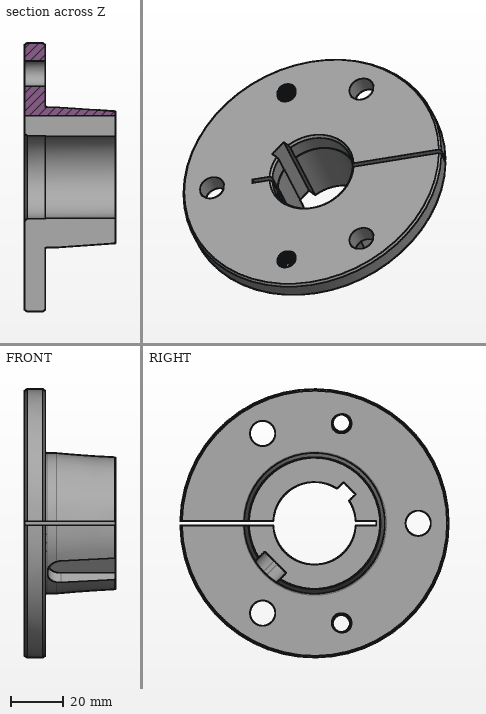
import cadquery as cq
import math


flange_radius = 51.6
flange_thickness = 8.0
rim_chamfer_length = 1.0
rim_chamfer_depth = 0.7

total_length = 35.0
hub_radius = 27.0
taper_start = 12.2
taper_angle = 4.0
hub_root_fillet = 0.5
hub_end_chamfer = 0.3

bore_radius = 15.8
relief_radius = 16.0
bore_chamfer_length = 1.0
bore_chamfer_depth = 0.8

split_width = 1.7
split_blind_reach = 23.6

bore_keyway_angle = 45.0
bore_keyway_width = 6.5
bore_keyway_floor = 19.0
hub_keyway_angle = 225.0
hub_keyway_width = 11.7
hub_keyway_floor = 21.2
hub_keyway_start = 9.0
hub_keyway_corner_radius = 5.0

hole_circle_radius = 39.8
bolt_hole_radius = 4.8
bolt_hole_count = 3
jack_hole_angle = 75.0

thread_minor_radius = 3.3
thread_major_radius = 3.97
thread_pitch = 1.4
thread_start_angle = 135.0


def hub_body():
    """Flange and hub revolved about X, with the bore left open."""
    taper_drop = (total_length - taper_start) * math.tan(math.radians(taper_angle))
    end_radius = hub_radius - taper_drop
    rim_edge_radius = flange_radius - rim_chamfer_depth
    fillet_middle = hub_root_fillet * (1 - math.sqrt(0.5))
    profile = (
        cq.Workplane("XY")
        .moveTo(0, relief_radius + bore_chamfer_depth)
        .lineTo(0, rim_edge_radius)
        .lineTo(rim_chamfer_length, flange_radius)
        .lineTo(flange_thickness - rim_chamfer_length, flange_radius)
        .lineTo(flange_thickness, rim_edge_radius)
        .lineTo(flange_thickness, hub_radius + hub_root_fillet)
        .threePointArc(
            (flange_thickness + fillet_middle, hub_radius + fillet_middle),
            (flange_thickness + hub_root_fillet, hub_radius),
        )
        .lineTo(taper_start, hub_radius)
        .lineTo(total_length - hub_end_chamfer, end_radius)
        .lineTo(total_length, end_radius - hub_end_chamfer)
        .lineTo(total_length, bore_radius)
        .lineTo(flange_thickness, bore_radius)
        .lineTo(flange_thickness, relief_radius)
        .lineTo(bore_chamfer_length, relief_radius)
        .close()
    )
    return profile.revolve(360, (0, 0, 0), (1, 0, 0))


def split_cut():
    """Slot that splits the -Y side and stops inside the hub wall on the +Y side."""
    reach = flange_radius + split_blind_reach
    slot = cq.Workplane("XY").box(total_length, reach, split_width, centered=(False, False, True))
    return slot.translate((0, -flange_radius, 0))


def bore_keyway():
    """Square-cornered keyway running the full length of the bore."""
    keyway = cq.Workplane("XY").box(
        total_length, bore_keyway_floor, bore_keyway_width, centered=(False, False, True)
    )
    return keyway.rotate((0, 0, 0), (1, 0, 0), bore_keyway_angle)


def hub_keyway():
    """Outer keyway with a rounded inner end, open at the small end of the hub."""
    length = total_length - hub_keyway_start
    height = flange_radius - hub_keyway_floor
    keyway = (
        cq.Workplane("XY")
        .box(length, height, hub_keyway_width, centered=(False, False, True))
        .edges("|Y and <X")
        .fillet(hub_keyway_corner_radius)
        .translate((hub_keyway_start, hub_keyway_floor, 0))
    )
    return keyway.rotate((0, 0, 0), (1, 0, 0), hub_keyway_angle)


def on_hole_circle(angle):
    """Y and Z of a hole centre on the flange hole circle."""
    return (
        hole_circle_radius * math.cos(math.radians(angle)),
        hole_circle_radius * math.sin(math.radians(angle)),
    )


def bolt_holes():
    """Plain through holes for the clamping bolts, the first one on the +Y side."""
    centres = [on_hole_circle(360 * i / bolt_hole_count) for i in range(bolt_hole_count)]
    return cq.Workplane("YZ").pushPoints(centres).circle(bolt_hole_radius).extrude(flange_thickness)


def jack_hole():
    """Threaded hole: an off-centre circle twisted once per pitch sweeps from minor to major radius."""
    mean_radius = (thread_major_radius + thread_minor_radius) / 2
    offset = (thread_major_radius - thread_minor_radius) / 2
    start = (
        offset * math.cos(math.radians(thread_start_angle)),
        offset * math.sin(math.radians(thread_start_angle)),
    )
    turns = flange_thickness / thread_pitch
    thread = (
        cq.Workplane("YZ")
        .moveTo(*start)
        .circle(mean_radius)
        .twistExtrude(flange_thickness, 360 * turns)
    )
    return thread.translate((0, *on_hole_circle(jack_hole_angle)))


upper_jack_hole = jack_hole()
lower_jack_hole = upper_jack_hole.mirror("XY")

result = (
    hub_body()
    .cut(split_cut())
    .cut(bore_keyway())
    .cut(hub_keyway())
    .cut(bolt_holes())
    .cut(upper_jack_hole)
    .cut(lower_jack_hole)
)